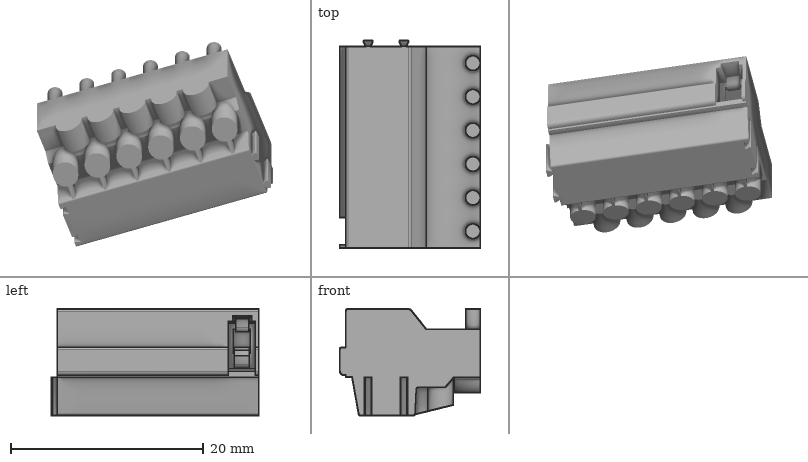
import cadquery as cq
import math

overall_length = 21.58
poles = 6
pitch = 3.5
body_length = poles * pitch
body_width = 14.6
body_height = 11.1
shoulder_z = 9.0
skirt_z = 4.0

face_x = 0.63
ledge_top_z = 7.1
ledge_bottom_z = 4.2
ledge_bottom_radius = 0.43
edge_radius = 0.22
crest_x = 7.32
roof_foot_x = 9.0
crest_radius = 0.45
skirt_top_x = 1.27
skirt_bottom_x = 1.99
skirt_back_bottom_x = 7.81
skirt_back_top_x = 7.96
belly_z = 2.93
belly_end_x = 10.96
rear_step_x = 11.87
root_overlap = 0.22

pin_diameter = 1.53
barrel_diameter = 2.65
barrel_x = 10.49
barrel_bottom_z = 1.12
barrel_slope = 14.0
web_thickness = 0.35
rib_radius = 1.4
rib_axis_z = 3.78

dovetail_x = (2.95, 6.67)
tongue_height = overall_length - body_length
tongue_base_width = 0.5
tongue_tip_width = 0.97
tongue_tip_side = 0.15
tongue_tip_chamfer = 0.06
groove_mouth_width = 0.78
groove_throat_width = 0.6
groove_floor_width = 1.01
groove_mouth_chamfer = 0.09
groove_depth = 0.65

pocket_y = (0.37, 3.17)
pocket_floor_z = 4.88
pocket_back_x = 2.68
pocket_top_z = 9.82
pocket_top_drop = 0.2
sill_z = 4.65
sill_x = 1.27
notch_y = (0.75, 2.72)
notch_top_z = 10.4
notch_taper = 0.24
window_y = (0.9, 2.65)
window_z = (6.47, 8.95)
window_depth = 0.43
latch_front_x = pocket_back_x - 0.28
upper_latch_y = (1.05, 2.42)
upper_latch_z = (8.7, 10.15)
upper_latch_top_drop = 0.06
upper_latch_radius = 0.5
lower_latch_y = (1.0, 2.57)
lower_latch_top_z = 7.12
lower_latch_slope_z = (6.24, 6.82)
lower_latch_radius = 0.45


def prism(points, y_range):
    """Solid with an XZ outline, running along Y between two positions."""
    y_start, y_end = y_range
    outline = cq.Workplane("XZ", origin=(0, y_start, 0)).polyline(points).close()
    return outline.extrude(y_start - y_end)


def round_edges(solid, radius, corners):
    """Fillet the Y-direction edges passing through the given XZ corners."""
    middle_y = body_length / 2
    for x, z in corners:
        edge = cq.selectors.NearestToPointSelector((x, middle_y, z))
        solid = solid.edges("|Y").edges(edge).fillet(radius)
    return solid


def make_housing():
    outline = [
        (face_x, body_height),
        (crest_x, body_height),
        (roof_foot_x, shoulder_z),
        (body_width, shoulder_z),
        (body_width, skirt_z),
        (rear_step_x, skirt_z),
        (belly_end_x, belly_z),
        (skirt_back_top_x, belly_z),
        (skirt_back_bottom_x, 0),
        (skirt_bottom_x, 0),
        (skirt_top_x, skirt_z),
        (face_x, skirt_z),
        (face_x, ledge_bottom_z),
        (0, ledge_bottom_z),
        (0, ledge_top_z),
        (face_x, ledge_top_z),
    ]
    housing = prism(outline, (0, body_length))
    housing = round_edges(housing, crest_radius, [(crest_x, body_height)])
    housing = round_edges(housing, ledge_bottom_radius, [(0, ledge_bottom_z)])
    small_corners = [
        (face_x, body_height),
        (0, ledge_top_z),
        (skirt_bottom_x, 0),
        (skirt_back_bottom_x, 0),
        (skirt_back_top_x, belly_z),
    ]
    return round_edges(housing, edge_radius, small_corners)


def make_pin(y):
    pin_x = body_width - pin_diameter / 2
    pin = cq.Workplane("XY", origin=(pin_x, y, shoulder_z)).circle(pin_diameter / 2)
    return pin.extrude(body_height - shoulder_z)


def make_barrel(y):
    """Upright barrel joined to the skirt by a web, both cut off by one slope."""
    web_start_x = (skirt_back_bottom_x + skirt_back_top_x) / 2 - root_overlap
    barrel = cq.Workplane("XY", origin=(barrel_x, y, 0)).circle(barrel_diameter / 2)
    barrel = barrel.extrude(skirt_z)
    web = cq.Workplane("XY").box(
        barrel_x - web_start_x, web_thickness, belly_z, centered=(False, True, False)
    )
    web = web.translate((web_start_x, y, 0))
    rise = math.tan(math.radians(barrel_slope))
    slope_start_z = barrel_bottom_z - rise * (rear_step_x - web_start_x)
    envelope = prism(
        [
            (web_start_x, slope_start_z),
            (rear_step_x, barrel_bottom_z),
            (rear_step_x, skirt_z),
            (belly_end_x, skirt_z),
            (belly_end_x, belly_z),
            (web_start_x, belly_z),
        ],
        (y - pitch / 2, y + pitch / 2),
    )
    return barrel.union(web).intersect(envelope)


def make_rib(y):
    """Half-round rib hanging under the rear step, between two poles."""
    rib = (
        cq.Workplane("YZ", origin=(rear_step_x, y, 0))
        .moveTo(-rib_radius, skirt_z)
        .lineTo(-rib_radius, rib_axis_z)
        .threePointArc((0, rib_axis_z - rib_radius), (rib_radius, rib_axis_z))
        .lineTo(rib_radius, skirt_z)
        .close()
    )
    return rib.extrude(body_width - rear_step_x)


def make_tongue(x):
    half_base = tongue_base_width / 2
    half_tip = tongue_tip_width / 2
    tip_y = body_length + tongue_height
    flank_y = tip_y - tongue_tip_side
    half = [
        (half_base, body_length - root_overlap),
        (half_base, body_length),
        (half_tip, flank_y),
        (half_tip, tip_y - tongue_tip_chamfer),
        (half_tip - tongue_tip_chamfer, tip_y),
    ]
    mirrored = [(-px, py) for px, py in reversed(half)]
    return cq.Workplane("XY", origin=(x, 0, 0)).polyline(half + mirrored).close().extrude(skirt_z)


def make_groove(x):
    half = [
        (groove_mouth_width / 2, 0),
        (groove_throat_width / 2, groove_mouth_chamfer),
        (groove_floor_width / 2, groove_depth),
    ]
    mirrored = [(-px, py) for px, py in reversed(half)]
    return cq.Workplane("XY", origin=(x, 0, 0)).polyline(half + mirrored).close().extrude(skirt_z)


def make_pocket():
    """Latch pocket: sloped sill and roof, tapered notch above, window at the back."""
    pocket = prism(
        [
            (face_x, sill_z),
            (sill_x, pocket_floor_z),
            (pocket_back_x, pocket_floor_z),
            (pocket_back_x, pocket_top_z - pocket_top_drop),
            (face_x, pocket_top_z),
        ],
        pocket_y,
    )
    ledge_gap = prism(
        [(0, skirt_z), (face_x, skirt_z), (face_x, ledge_top_z), (0, ledge_top_z)],
        pocket_y,
    )
    notch_width = notch_y[1] - notch_y[0]
    notch_height = notch_top_z - pocket_floor_z
    notch_middle_y = (notch_y[0] + notch_y[1]) / 2
    notch = (
        cq.Workplane("YZ", origin=(face_x, notch_middle_y, 0))
        .center(0, pocket_floor_z + notch_height / 2)
        .rect(notch_width, notch_height)
        .workplane(offset=pocket_back_x - face_x)
        .center(0, -notch_taper / 2)
        .rect(notch_width - 2 * notch_taper, notch_height - notch_taper)
        .loft()
    )
    window_back_x = pocket_back_x + window_depth
    window = prism(
        [
            (pocket_back_x, window_z[0]),
            (window_back_x, window_z[0]),
            (window_back_x, window_z[1]),
            (pocket_back_x, window_z[1]),
        ],
        window_y,
    )
    return pocket.union(ledge_gap).union(notch).union(window)


def make_upper_latch():
    root_x = pocket_back_x + window_depth
    bottom_z, top_z = upper_latch_z
    latch = prism(
        [
            (root_x, bottom_z),
            (latch_front_x, bottom_z),
            (latch_front_x, top_z - upper_latch_top_drop),
            (pocket_back_x, top_z),
            (root_x, top_z),
        ],
        upper_latch_y,
    )
    return latch.edges("|Y and <X and <Z").fillet(upper_latch_radius)


def make_lower_latch():
    root_x = pocket_back_x + window_depth
    slope_bottom_z, slope_top_z = lower_latch_slope_z
    latch = prism(
        [
            (root_x, pocket_floor_z),
            (latch_front_x, pocket_floor_z),
            (latch_front_x, slope_bottom_z),
            (pocket_back_x, slope_top_z),
            (pocket_back_x, lower_latch_top_z),
            (root_x, lower_latch_top_z),
        ],
        lower_latch_y,
    )
    return latch.edges("|Y and <X and <Z").fillet(lower_latch_radius)


result = make_housing()

for pole in range(poles):
    pole_y = (pole + 0.5) * pitch
    result = result.union(make_pin(pole_y))
    result = result.union(make_barrel(pole_y))

for boundary in range(1, poles):
    result = result.union(make_rib(boundary * pitch))

for center_x in dovetail_x:
    result = result.union(make_tongue(center_x))
    result = result.cut(make_groove(center_x))

result = result.cut(make_pocket())
result = result.union(make_upper_latch())
result = result.union(make_lower_latch())